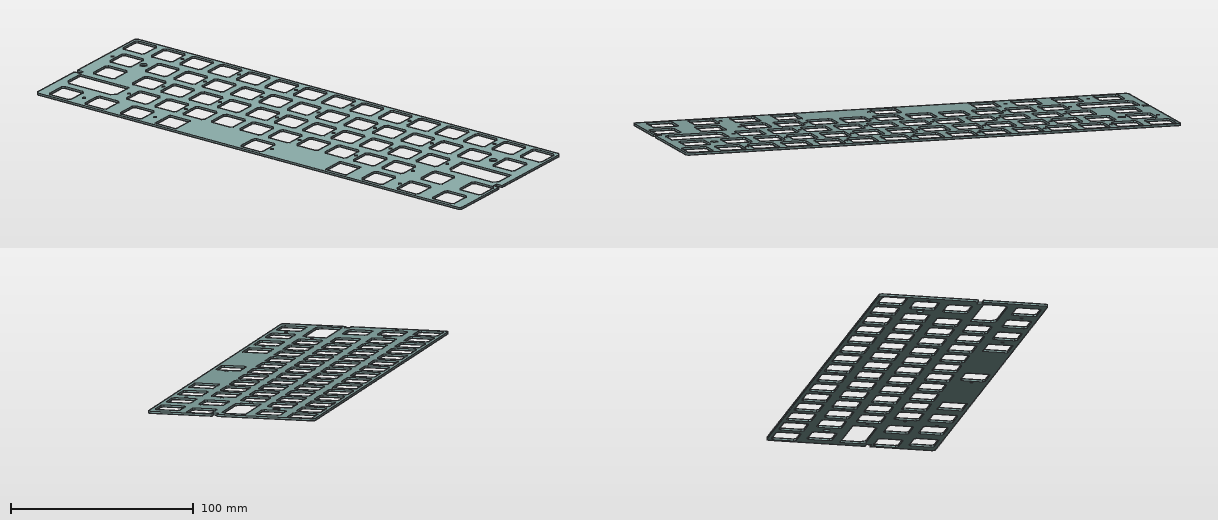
import cadquery as cq

length = 285.0
width = 94.5
thickness = 1.2
corner_radius = 2.0

keys_per_row = 15
edge_trim = 0.4
pitch = (length + 2 * edge_trim) / keys_per_row

switch_size = 14.0
wide_switch_size = 14.5
switch_corner_chamfer = 1.28

long_key_length = 32.8
long_key_chamfer = 2.5

small_hole_diameter = 1.62
large_hole_diameter = 4.0
large_hole_x = 117.5
notch_depth = 3.7
notch_width = 2.8
notch_y = -pitch / 2

cut_reach = thickness


def key_run(first, count):
    """Places of neighbouring single-pitch keys, starting at the first place."""
    return [first + i for i in range(count)]


switch_rows = {
    2: key_run(-7, keys_per_row),
    1: [-6.75] + key_run(-5.5, 12) + [6.75],
    0: [-6.625] + key_run(-5.25, 11),
    -1: key_run(-4.75, 10) + [5.625, 7],
    -2: [-6.75, -5.5, -4.25, 0, 4.25, 5.5, 6.75],
}
square_rows = {-2: [-3, 3]}
long_key_rows = {0: [6.375], -1: [-6.375]}
small_hole_rows = {
    2: [-5.5, -3.5, -1.5, 0.5, 2.5, 5.5],
    1: [-7.25, -4, -2, 0, 2, 4],
    0: [-4.75, -2.75, -0.75, 1.25, 3.25, 5.25],
    -1: [-5.25, -3.25, 0.75, 2.75, 4.75],
    -2: [-6.125, -3.625, 0.5, 5],
}


def grid_points(rows):
    """Plate coordinates of all places in the rows."""
    return [(place * pitch, row * pitch) for row, places in rows.items() for place in places]


def mirrored_points(x, y):
    """The same point on the left and on the right of the plate."""
    return [(-x, y), (x, y)]


def rectangles(points, size_x, size_y):
    return cq.Workplane("XY").pushPoints(points).rect(size_x, size_y).extrude(cut_reach, both=True)


def round_holes(points, diameter):
    return cq.Workplane("XY").pushPoints(points).circle(diameter / 2).extrude(cut_reach, both=True)


def plate():
    return cq.Workplane("XY").box(length, width, thickness).edges("|Z").fillet(corner_radius)


def switch_cutouts():
    cutouts = rectangles(grid_points(switch_rows), wide_switch_size, switch_size)
    return cutouts.edges("|Z").chamfer(switch_corner_chamfer)


def long_key_cutout(point):
    cutout = rectangles([point], long_key_length, switch_size)
    return cutout.faces("<Y").edges("|Z").chamfer(long_key_chamfer)


def side_notches():
    return rectangles(mirrored_points(length / 2, notch_y), 2 * notch_depth, notch_width)


result = plate().cut(switch_cutouts())
result = result.cut(rectangles(grid_points(square_rows), switch_size, switch_size))
for long_key_point in grid_points(long_key_rows):
    result = result.cut(long_key_cutout(long_key_point))
result = result.cut(round_holes(grid_points(small_hole_rows), small_hole_diameter))
result = result.cut(round_holes(mirrored_points(large_hole_x, pitch), large_hole_diameter))
result = result.cut(side_notches())